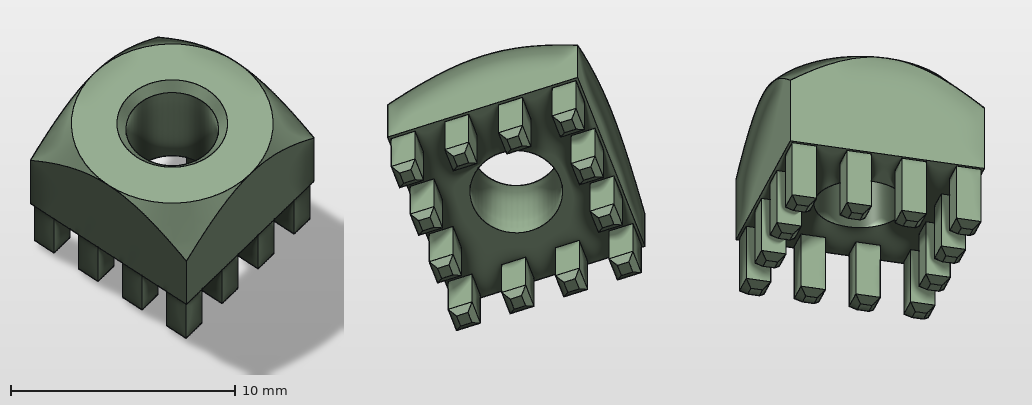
import cadquery as cq
import math

block_side = 9.0
block_height = 5.0
flat_diameter = block_side

bore_diameter = 4.13
countersink_depth = 0.405

pins_per_side = 4
pin_pitch = 2.54
pin_width = 1.13
pin_length = 3.0
pin_tip_chamfer = 0.3


def make_block():
    """Square block, underside at Z = 0, with its corners turned down by a 45 degree cone."""
    block = cq.Workplane("XY").rect(block_side, block_side).extrude(block_height)
    flat_radius = flat_diameter / 2
    corner_radius = block_side / math.sqrt(2)
    corner_drop = corner_radius - flat_radius
    envelope_margin = 0.45
    envelope_radius = corner_radius + envelope_margin
    cone_base_z = block_height - corner_drop - envelope_margin
    envelope = (
        cq.Workplane("XZ")
        .moveTo(0, 0)
        .lineTo(envelope_radius, 0)
        .lineTo(envelope_radius, cone_base_z)
        .lineTo(flat_radius, block_height)
        .lineTo(0, block_height)
        .close()
        .revolve(360, (0, 0, 0), (0, 1, 0))
    )
    return block.intersect(envelope)


def make_bore():
    """Cutting body for the through bore and its countersink."""
    bore_radius = bore_diameter / 2
    return (
        cq.Workplane("XZ")
        .moveTo(0, 0)
        .lineTo(bore_radius, 0)
        .lineTo(bore_radius, block_height - countersink_depth)
        .lineTo(bore_radius + countersink_depth, block_height)
        .lineTo(0, block_height)
        .close()
        .revolve(360, (0, 0, 0), (0, 1, 0))
    )


def make_pins():
    """Ring of pins hanging from the underside, leaving the middle of the grid empty."""
    last = pins_per_side - 1
    centres = []
    for column in range(pins_per_side):
        for row in range(pins_per_side):
            if column in (0, last) or row in (0, last):
                x = (column - last / 2) * pin_pitch
                y = (row - last / 2) * pin_pitch
                centres.append((x, y))
    return (
        cq.Workplane("XY")
        .pushPoints(centres)
        .rect(pin_width, pin_width)
        .extrude(-pin_length)
        .faces("<Z")
        .chamfer(pin_tip_chamfer)
    )


result = make_block().cut(make_bore()).union(make_pins())